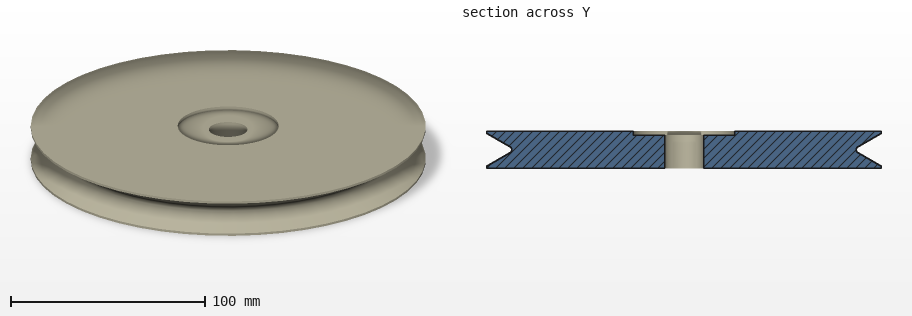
import cadquery as cq
import math

outer_diameter = 203.2
thickness = 19.0
rim_width = 1.2
groove_half_angle = 30.0
groove_root_radius = 1.6
bore_diameter = 20.0
recess_diameter = 52.0
recess_depth = 2.0

outer_radius = outer_diameter / 2
half_thickness = thickness / 2
half_angle = math.radians(groove_half_angle)

groove_half_width = half_thickness - rim_width
root_half_width = groove_root_radius * math.cos(half_angle)
flank_depth = (groove_half_width - root_half_width) / math.tan(half_angle)
root_edge_radius = outer_radius - flank_depth
root_floor_radius = root_edge_radius - groove_root_radius * (1 - math.sin(half_angle))


def make_grooved_disc():
    """Revolve the half section (radius, height) about the Z axis."""
    return (
        cq.Workplane("XZ")
        .moveTo(0, -half_thickness)
        .lineTo(outer_radius, -half_thickness)
        .lineTo(outer_radius, -groove_half_width)
        .lineTo(root_edge_radius, -root_half_width)
        .threePointArc((root_floor_radius, 0), (root_edge_radius, root_half_width))
        .lineTo(outer_radius, groove_half_width)
        .lineTo(outer_radius, half_thickness)
        .lineTo(0, half_thickness)
        .close()
        .revolve(360, (0, 0), (0, 1))
    )


def cut_recess_and_bore(disc):
    """Cut the shallow top recess and the through bore."""
    recessed = disc.faces(">Z").workplane().circle(recess_diameter / 2).cutBlind(-recess_depth)
    return recessed.faces(">Z").workplane().circle(bore_diameter / 2).cutThruAll()


result = cut_recess_and_bore(make_grooved_disc())